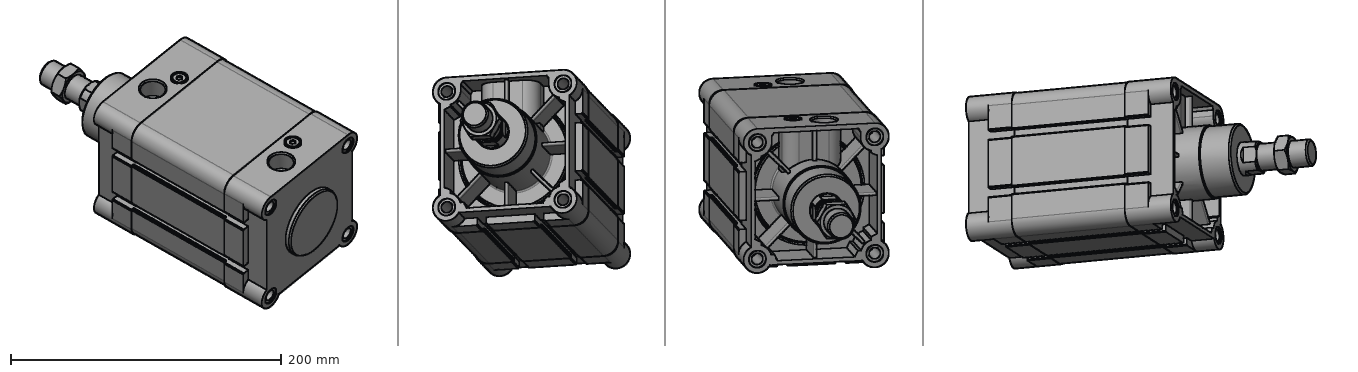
import cadquery as cq
import math


body_size = 110.0
body_half = body_size / 2
body_length = 162.3
cap_length = 36.5
barrel_size = 109.5
barrel_corner_radius = 11.0
bolt_offset = 44.5
post_radius = body_half - bolt_offset

recess_depth = 5.7
recess_length = 17.8
recess_floor = body_half - recess_depth

groove_offset = 22.0
cap_groove_width = 7.0
barrel_groove_mouth = 5.5
barrel_groove_width = 7.0
barrel_groove_depth = 6.0
barrel_lip = 2.3
groove_edge_bevel = 0.8

pocket_depth = 29.7
pocket_half = 46.2
pocket_top = 51.3
pocket_post_radius = 10.8
step_side = 41.5
step_start = 29.2
step_end = 31.5
upper_step_rise = 1.0
pocket_bevel_width = 1.5
pocket_bevel_height = 2.5
floor_ring_diameter = 82.8
floor_ring_width = 2.5
floor_ring_depth = 1.0
rib_count = 8
rib_width = 2.5
rib_front = 3.9
boss_front = 8.8
boss_width = 44.5
boss_fillet = 10.8

collar_diameter = 55.0
collar_foot_radius = 1.3
nose_diameter = 53.0
nose_length = 23.7
nose_step_bevel = 0.8
collar_length = 36.5
nose_bevel = 1.3
spigot_length = 4.6
spigot_bevel_length = 1.5
spigot_bevel_height = 0.8

bolt_hole_diameter = 8.5
bolt_hole_depth = 25.8
bolt_seat_diameter = 13.0
bolt_seat_depth = 1.0

port_diameter = 18.5
port_mouth_diameter = 21.0
port_depth = 15.5
port_inset = 19.0
port_y = -9.8
screw_inset = 26.3
screw_y = 12.0
screw_hole_diameter = 13.0
screw_head_diameter = 12.0
screw_face_diameter = 10.0
screw_gap_depth = 1.5
screw_bevel = (screw_head_diameter - screw_face_diameter) / 2
socket_width = 4.0
socket_depth = 1.3
socket_tip_depth = 1.0

rod_length = 91.0
rod_front = -rod_length
rod_diameter = 25.0
thread_diameter = 20.0
thread_length = 40.0
thread_bevel = 1.3
shoulder_bevel = 1.0
flat_width = 22.2
flat_length = 10.3
nut_start = 15.0
nut_length = 10.3
nut_width = 25.8
nut_bevel_angle = 30.0


def square_bar(size, x_start, length):
    """Square bar along X, centred on the axis."""
    return cq.Workplane("YZ").workplane(offset=x_start).rect(size, size).extrude(length)


def round_bar(diameter, x_start, length):
    """Round bar along X, centred on the axis."""
    return cq.Workplane("YZ").workplane(offset=x_start).circle(diameter / 2).extrude(length)


def turned(profile):
    """Solid of revolution about X from a closed XY wire."""
    return profile.close().revolve(360, (0, 0, 0), (1, 0, 0))


def mirrored_ends(shape):
    """A feature at the front cap together with its mirror image at the rear cap."""
    return shape.union(shape.mirror("YZ", (body_length / 2, 0, 0)))


def at_bolt_corners(shape):
    """A feature on the axis, copied to the four bolt positions."""
    copies = cq.Workplane("XY")
    for y_sign in (-1, 1):
        for z_sign in (-1, 1):
            copies.add(shape.translate((0, y_sign * bolt_offset, z_sign * bolt_offset)))
    return copies.combine()


def on_three_sides(shape):
    """A feature of the underside, repeated on the two sides; the top stays plain."""
    sides = shape
    for angle in (-90, 90):
        sides = sides.union(shape.rotate((0, 0, 0), (1, 0, 0), angle))
    return sides


def lengthwise_block(width, top, bottom, x_start, length):
    """Rectangular block along X between two heights, centred over the axis."""
    block = cq.Workplane("XY").box(length, width, top - bottom, centered=(False, True, False))
    return block.translate((x_start, 0, bottom))


def groove_mouth(width, surface, x_start, length):
    """Bevelled mouth of a groove in the underside."""
    return (
        cq.Workplane("YZ")
        .workplane(offset=x_start)
        .moveTo(-width / 2 - groove_edge_bevel, -surface)
        .lineTo(width / 2 + groove_edge_bevel, -surface)
        .lineTo(width / 2, -surface + groove_edge_bevel)
        .lineTo(-width / 2, -surface + groove_edge_bevel)
        .close()
        .extrude(length)
    )


def groove_pairs(groove):
    """A groove of the underside, as a pair on each of the three grooved sides."""
    left = groove.translate((0, -groove_offset, 0))
    right = groove.translate((0, groove_offset, 0))
    return on_three_sides(left.union(right))


def make_caps():
    """Front and rear caps: a stepped outer end between round posts, then a full-size grooved part."""
    post_diagonal = bolt_offset + post_radius * math.sqrt(0.5)
    post_meets_recess = bolt_offset - math.sqrt(post_radius**2 - (recess_floor - bolt_offset) ** 2)
    end = (
        cq.Workplane("YZ")
        .moveTo(0, -recess_floor)
        .lineTo(post_meets_recess, -recess_floor)
        .threePointArc((post_diagonal, -post_diagonal), (recess_floor, -post_meets_recess))
        .lineTo(recess_floor, post_meets_recess)
        .threePointArc((post_diagonal, post_diagonal), (bolt_offset, body_half))
        .lineTo(0, body_half)
        .mirrorY()
        .extrude(recess_length)
    )
    length = cap_length - recess_length
    grooved = square_bar(body_size, recess_length, length).edges("|X").fillet(post_radius)
    groove = lengthwise_block(cap_groove_width, -recess_floor, -body_half, recess_length, length)
    groove = groove.union(groove_mouth(cap_groove_width, body_half, recess_length, length))
    return mirrored_ends(end.union(grooved.cut(groove_pairs(groove))))


def make_barrel():
    """Barrel between the caps with undercut grooves."""
    length = body_length - 2 * cap_length
    surface = barrel_size / 2
    groove_floor = barrel_groove_depth - surface
    lip_back = barrel_lip - surface
    barrel = square_bar(barrel_size, cap_length, length).edges("|X").fillet(barrel_corner_radius)
    groove = lengthwise_block(barrel_groove_mouth, groove_floor, -surface, cap_length, length)
    undercut = lengthwise_block(barrel_groove_width, groove_floor, lip_back, cap_length, length)
    mouth = groove_mouth(barrel_groove_mouth, surface, cap_length, length)
    return barrel.cut(groove_pairs(groove.union(undercut).union(mouth)))


def make_pocket():
    """Hollow of the front cap, narrowed around the bolt posts, open to the front."""
    post_side = bolt_offset - pocket_post_radius
    post_diagonal = bolt_offset - pocket_post_radius * math.sqrt(0.5)
    post_meets_step = bolt_offset - math.sqrt(pocket_post_radius**2 - (bolt_offset - step_side) ** 2)
    return (
        cq.Workplane("YZ")
        .moveTo(0, -pocket_half)
        .lineTo(step_start, -pocket_half)
        .lineTo(step_end, -step_side)
        .lineTo(post_meets_step, -step_side)
        .threePointArc((post_diagonal, -post_diagonal), (step_side, -post_meets_step))
        .lineTo(step_side, -step_end)
        .lineTo(pocket_half, -step_start)
        .lineTo(pocket_half, step_start + upper_step_rise)
        .lineTo(step_side, step_end + upper_step_rise)
        .lineTo(step_side, post_meets_step)
        .threePointArc((post_diagonal, post_diagonal), (post_side, bolt_offset))
        .lineTo(post_side, pocket_top - pocket_bevel_height)
        .lineTo(post_side - pocket_bevel_width, pocket_top)
        .lineTo(0, pocket_top)
        .mirrorY()
        .extrude(pocket_depth)
    )


def make_pocket_filling(pocket):
    """Ribs and port boss that stand inside the pocket."""
    tip_radius = rib_width / 2
    tip_centre = rib_front + tip_radius
    tip = cq.Workplane("XY").center(tip_centre, 0).circle(tip_radius).extrude(body_size)
    rib = lengthwise_block(rib_width, body_size, 0, tip_centre, pocket_depth - tip_centre).union(tip)
    boss = lengthwise_block(boss_width, body_half, 0, boss_front, pocket_depth - boss_front)
    boss = boss.edges("|Z and <X").fillet(boss_fillet)
    filling = boss
    for i in range(rib_count):
        filling = filling.union(rib.rotate((0, 0, 0), (1, 0, 0), i * 360 / rib_count))
    return filling.intersect(pocket)


def make_floor_ring():
    """Ring-shaped V groove in the pocket floor."""
    radius = floor_ring_diameter / 2
    return turned(
        cq.Workplane("XY")
        .moveTo(pocket_depth, radius - floor_ring_width / 2)
        .lineTo(pocket_depth + floor_ring_depth, radius)
        .lineTo(pocket_depth, radius + floor_ring_width / 2)
    )


def make_collar():
    """Guide collar: stepped nose in front, rounded foot on the pocket floor."""
    nose = nose_diameter / 2
    collar = collar_diameter / 2
    foot_start = pocket_depth - collar_foot_radius
    foot_middle = collar_foot_radius * (1 - math.sqrt(0.5))
    nose_end = nose_length - collar_length
    return turned(
        cq.Workplane("XY")
        .moveTo(-collar_length, 0)
        .lineTo(-collar_length, nose - nose_bevel)
        .lineTo(-collar_length + nose_bevel, nose)
        .lineTo(nose_end, nose)
        .lineTo(nose_end + nose_step_bevel, collar)
        .lineTo(foot_start, collar)
        .threePointArc(
            (pocket_depth - foot_middle, collar + foot_middle),
            (pocket_depth, collar + collar_foot_radius),
        )
        .lineTo(pocket_depth, 0)
    )


def make_spigot():
    """Centring spigot on the rear cap."""
    radius = collar_diameter / 2
    end = body_length + spigot_length
    return turned(
        cq.Workplane("XY")
        .moveTo(body_length, 0)
        .lineTo(body_length, radius)
        .lineTo(end - spigot_bevel_length, radius)
        .lineTo(end, radius - spigot_bevel_height)
        .lineTo(end, 0)
    )


def make_bolt_holes():
    """Blind holes with shallow seats in the corners of both caps."""
    hole = round_bar(bolt_hole_diameter, 0, bolt_hole_depth)
    seat = round_bar(bolt_seat_diameter, 0, bolt_seat_depth)
    return mirrored_ends(at_bolt_corners(hole.union(seat)))


def make_ports():
    """Bevelled air ports in the tops of both caps."""
    top = cq.Workplane("XY").workplane(offset=body_half).center(port_inset, port_y)
    bore = top.circle(port_diameter / 2).extrude(-port_depth)
    bevel = (port_mouth_diameter - port_diameter) / 2
    mouth = top.circle(port_mouth_diameter / 2).extrude(-bevel, taper=45)
    return mirrored_ends(bore.union(mouth))


def make_screw_gaps():
    """Gaps around the cushioning screws, and the screws' hexagon sockets with conical bottoms."""
    top = cq.Workplane("XY").workplane(offset=body_half).center(screw_inset, screw_y)
    hole = top.circle(screw_hole_diameter / 2).extrude(-screw_gap_depth)
    head = top.circle(screw_head_diameter / 2).extrude(-screw_gap_depth)
    head = head.faces(">Z").chamfer(screw_bevel)
    socket = top.transformed(rotate=(0, 0, 90)).polygon(6, socket_width, circumscribed=True)
    socket = socket.extrude(-socket_depth)
    tip_centre = cq.Vector(screw_inset, screw_y, body_half - socket_depth)
    tip = cq.Solid.makeCone(socket_width / 2, 0, socket_tip_depth, tip_centre, cq.Vector(0, 0, -1))
    return mirrored_ends(hole.cut(head).union(socket).union(cq.Workplane(tip)))


def make_rod_blank():
    """Piston rod without its nut and flats: bevelled thread and full-diameter shoulder."""
    thread = thread_diameter / 2
    rod = rod_diameter / 2
    shoulder = rod_front + thread_length
    return turned(
        cq.Workplane("XY")
        .moveTo(rod_front, 0)
        .lineTo(rod_front, thread - thread_bevel)
        .lineTo(rod_front + thread_bevel, thread)
        .lineTo(shoulder, thread)
        .lineTo(shoulder, rod - shoulder_bevel)
        .lineTo(shoulder + shoulder_bevel, rod)
        .lineTo(0, rod)
        .lineTo(0, 0)
    )


def make_flats_outline():
    """Square bar left by the four spanner flats, running out into the full rod at its end."""
    start = rod_front + thread_length
    square = square_bar(flat_width, start, flat_length)
    run_out = (rod_diameter - flat_width) / 2
    ramp = (
        cq.Workplane("YZ")
        .workplane(offset=start + flat_length)
        .rect(flat_width, flat_width)
        .workplane(offset=run_out)
        .rect(rod_diameter, rod_diameter)
        .loft(ruled=True)
    )
    return square.union(ramp)


def make_nut():
    """Hexagon nut with conical bevels on both faces."""
    start = rod_front + nut_start
    corner = nut_width / math.sqrt(3)
    bevel_height = corner - nut_width / 2
    bevel_length = bevel_height * math.tan(math.radians(nut_bevel_angle))
    end = start + nut_length
    hexagon = (
        cq.Workplane("YZ")
        .workplane(offset=start)
        .transformed(rotate=(0, 0, 90))
        .polygon(6, nut_width, circumscribed=True)
        .extrude(nut_length)
    )
    envelope = turned(
        cq.Workplane("XY")
        .moveTo(start, 0)
        .lineTo(start, corner - bevel_height)
        .lineTo(start + bevel_length, corner)
        .lineTo(end - bevel_length, corner)
        .lineTo(end, corner - bevel_height)
        .lineTo(end, 0)
    )
    return hexagon.intersect(envelope)


def make_piston_rod():
    """Piston rod with spanner flats and lock nut; it ends inside the guide collar."""
    blank = make_rod_blank()
    start = rod_front + thread_length
    flats = make_flats_outline()
    flats_length = flat_length + (rod_diameter - flat_width) / 2
    removed = round_bar(rod_diameter, start, flats_length).cut(flats)
    return blank.cut(removed).union(make_nut())


def make_housing():
    """Caps, barrel, pocket and collar joined in one solid, with the bore for the rod."""
    pocket = make_pocket()
    housing = make_caps().union(make_barrel())
    housing = housing.cut(pocket).cut(make_floor_ring())
    housing = housing.union(make_pocket_filling(pocket))
    housing = housing.union(make_collar()).union(make_spigot())
    housing = housing.cut(make_bolt_holes()).cut(make_ports()).cut(make_screw_gaps())
    return housing.cut(round_bar(rod_diameter, -collar_length, collar_length))


housing = make_housing()
piston_rod = make_piston_rod()
result = cq.Compound.makeCompound([housing.val(), piston_rod.val()])